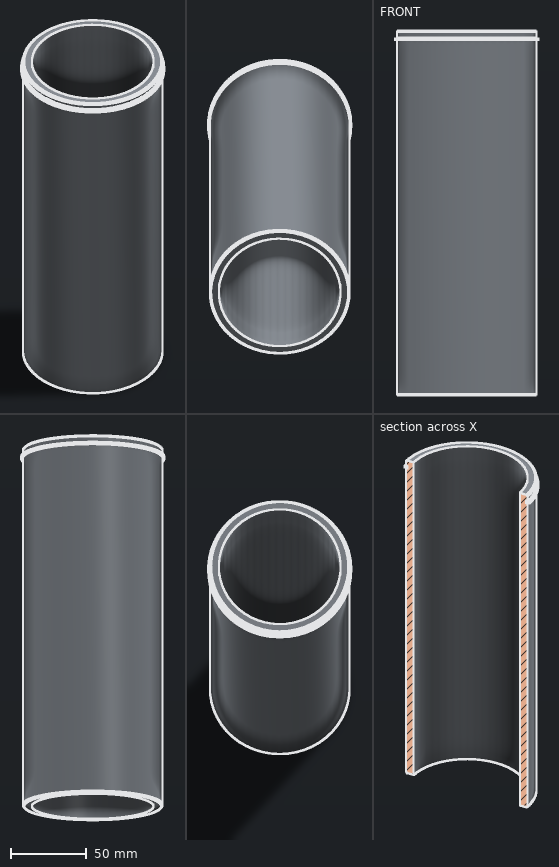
import cadquery as cq

length = 240.0
outer_diameter = 92.2
bore_diameter = 80.2
end_chamfer = 1.0

ring_diameter = 94.3
ring_thickness = 1.2
ring_top_offset = 5.0
groove_depth = 1.2
groove_clearance = 0.5

groove_diameter = outer_diameter - 2 * groove_depth
ring_bottom = length - ring_top_offset - ring_thickness
groove_width = ring_thickness + groove_clearance


def annulus(outside, inside, bottom, height):
    """Flat-ended ring around the Z axis, with its lower face at the given height."""
    return (
        cq.Workplane("XY")
        .workplane(offset=bottom)
        .circle(outside / 2)
        .circle(inside / 2)
        .extrude(height)
    )


def make_tube():
    """Straight tube with chamfered outer rims and an outside groove for the ring."""
    outside = (
        cq.Workplane("XY")
        .circle(outer_diameter / 2)
        .extrude(length)
        .faces("<Z or >Z")
        .edges()
        .chamfer(end_chamfer)
    )
    bore = cq.Workplane("XY").circle(bore_diameter / 2).extrude(length)
    groove = annulus(ring_diameter, groove_diameter, ring_bottom, groove_width)
    return outside.cut(bore).cut(groove).solids()


def make_retaining_ring():
    """Closed ring resting on the lower wall of the groove and standing proud of the tube."""
    return annulus(ring_diameter, groove_diameter, ring_bottom, ring_thickness)


tube = make_tube()
retaining_ring = make_retaining_ring()

result = cq.Compound.makeCompound([tube.val(), retaining_ring.val()])